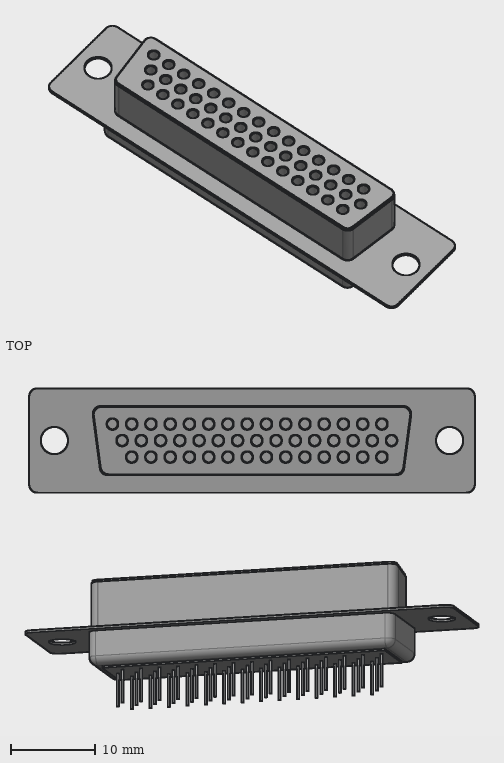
import cadquery as cq
import math


corner_radius = 1.0
edge_chamfer = 0.05

flange_length = 53.1
flange_width = 12.5
flange_thickness = 0.3
mounting_hole_diameter = 3.2
mounting_hole_spacing = 47.05
front_long_side = 38.25
front_width = 8.3
front_side_angle = 7.5
front_wall = 0.1
box_length = 37.85
box_width = 10.3
box_bottom_z = -4.35

overall_height = 14.7
insulator_top_z = 6.15
front_protrusion = 0.25
base_length = 35.05
base_width = 7.3
base_protrusion = 0.2
socket_diameter = 1.2
socket_depth = 2.65
socket_chamfer = 0.1
pin_diameter = 0.3

shell_rim_z = insulator_top_z - front_protrusion
base_bottom_z = box_bottom_z - base_protrusion
pin_bottom_z = insulator_top_z - overall_height

long_row_count = 15
long_row_span = 32.05
row_spacing = 1.95
contact_pitch = long_row_span / (long_row_count - 1)
contact_rows = [
    (-7.25, 1, long_row_count),
    (-6.75, 0, long_row_count),
    (-6.25, -1, long_row_count - 1),
]
contact_points = [
    ((first + i) * contact_pitch, row * row_spacing)
    for first, row, count in contact_rows
    for i in range(count)
]


def d_block(inset, top_z):
    """D-shaped block from Z = 0 to top_z, its outline moved inwards by inset."""
    slant = math.radians(front_side_angle)
    half_width = front_width / 2 - inset
    half_middle = (front_long_side - front_width * math.tan(slant)) / 2 - inset / math.cos(slant)
    half_long = half_middle + half_width * math.tan(slant)
    half_short = half_middle - half_width * math.tan(slant)
    corners = [
        (-half_long, half_width),
        (half_long, half_width),
        (half_short, -half_width),
        (-half_short, -half_width),
    ]
    block = cq.Workplane("XY").polyline(corners).close().extrude(top_z)
    return block.edges("|Z").fillet(corner_radius - inset)


def box_between(length, width, bottom_z, top_z):
    """Box centred on the Z axis between two heights."""
    outline = cq.Workplane("XY").workplane(offset=bottom_z).rect(length, width)
    return outline.extrude(top_z - bottom_z)


def contact_cylinders(diameter, bottom_z, top_z):
    """One cylinder per contact between two heights."""
    contacts = cq.Workplane("XY").workplane(offset=bottom_z).pushPoints(contact_points)
    return contacts.circle(diameter / 2).extrude(top_z - bottom_z)


def make_flange():
    hole_x = mounting_hole_spacing / 2
    flange = box_between(flange_length, flange_width, -flange_thickness, 0)
    flange = flange.edges("|Z").fillet(corner_radius)
    flange = flange.faces(">Z").workplane().pushPoints([(-hole_x, 0), (hole_x, 0)])
    flange = flange.hole(mounting_hole_diameter)
    return flange.faces(">Z").edges().chamfer(edge_chamfer)


def make_rear_box():
    box = box_between(box_length, box_width, box_bottom_z, -flange_thickness)
    box = box.edges("|Z").fillet(corner_radius)
    return box.faces("<Z").edges().fillet(corner_radius)


def make_insulator_core():
    """Insulator without its sockets and pins; it fills the opening of the shell."""
    front = d_block(front_wall, insulator_top_z).faces(">Z").edges().chamfer(edge_chamfer)
    base = box_between(base_length, base_width, base_bottom_z, 0)
    return front.union(base)


def make_insulator(core):
    """Insulator with its chamfered blind sockets above and its pins below."""
    sockets = contact_cylinders(socket_diameter, insulator_top_z - socket_depth, insulator_top_z)
    pins = contact_cylinders(pin_diameter, pin_bottom_z, base_bottom_z)
    body = core.cut(sockets)
    mouths = body.faces(">Z").edges(cq.selectors.RadiusNthSelector(0))
    return mouths.chamfer(socket_chamfer).union(pins)


def make_shell(core):
    """Flange, D front and rear box in one piece, open where the insulator passes through."""
    front = d_block(0, shell_rim_z).faces(">Z").edges().chamfer(edge_chamfer)
    body = make_flange().union(front).union(make_rear_box())
    return body.cut(core)


insulator_core = make_insulator_core()
shell = make_shell(insulator_core)
insulator = make_insulator(insulator_core)

result = cq.Compound.makeCompound([shell.solids().val(), insulator.solids().val()])